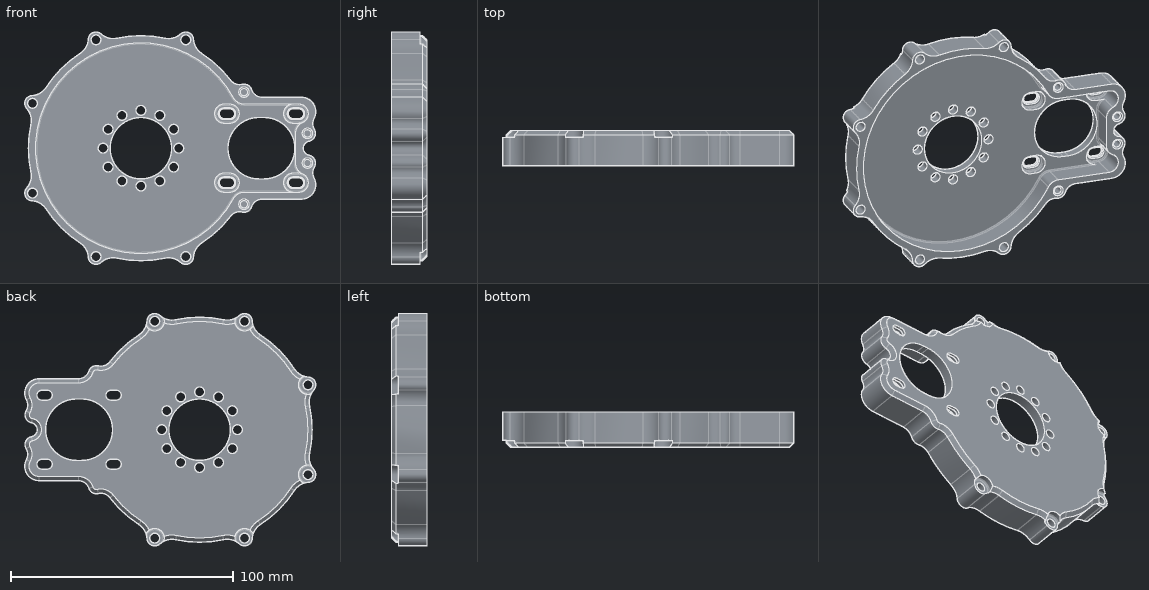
import cadquery as cq
import math

depth = 16.0
floor_thickness = 5.0
wall = 3.3
back_chamfer = 2.0
corner_fillet = 0.5

housing_radius = 50.7
pocket_radius = housing_radius - wall
lug_circle_radius = 52.8
lug_radius = 3.5
lug_blend = 8.0
lug_hole_diameter = 4.3
upper_lug_angles = [67.5, 112.5, 157.5]
spotface_diameter = 8.6
spotface_depth = 3.1

bore_diameter = 27.5
ring_hole_diameter = 4.3
ring_hole_count = 12
ring_hole_circle_radius = 17.0

motor_x = 54.2
motor_travel = 2.5
motor_bore_diameter = 27.5
mount_spacing = 31.0
mount_slot_width = 4.3
mount_recess_width = 8.6
mount_recess_depth = 3.0
mount_slot_chamfer = 0.5

arm_wall = 3.1
arm_end_x = 78.7
arm_outer_corner = 6.5
arm_pocket_corner = mount_recess_width / 2
arm_pocket_corner_x = motor_x + (mount_spacing + motor_travel) / 2
arm_pocket_corner_z = mount_spacing / 2
arm_pocket_half_height = arm_pocket_corner_z + arm_pocket_corner
arm_half_height = arm_pocket_half_height + arm_wall
boss_radius = 3.7
neck_boss_clearance = lug_circle_radius - pocket_radius
boss_blend = 5.0
neck_boss_z = arm_pocket_half_height + neck_boss_clearance
neck_boss_x = math.sqrt(lug_circle_radius**2 - neck_boss_z**2)
end_boss_x = 74.9
end_boss_z = 6.7
end_boss_to_corner = math.hypot(end_boss_x - arm_pocket_corner_x, end_boss_z - arm_pocket_corner_z)
end_boss_clearance = end_boss_to_corner - arm_pocket_corner
end_notch_radius = 3.1
screw_hole_diameter = 3.3
screw_countersink_diameter = 4.7
screw_hole_depth = 10.5



def blend_circle(first, second, radius):
    """Inward circle touching two outward circles, on the right of the way from first to second."""
    dx, dz = second[0] - first[0], second[1] - first[1]
    gap = math.hypot(dx, dz)
    reach_first = first[2] + radius
    reach_second = second[2] + radius
    along = (reach_first**2 - reach_second**2 + gap**2) / (2 * gap)
    aside = math.sqrt(reach_first**2 - along**2)
    x = first[0] + (along * dx + aside * dz) / gap
    z = first[1] + (along * dz - aside * dx) / gap
    return (x, z, -radius)


def tangent_normal(first, second):
    """Angle of the left normal of the common tangent leading from first to second."""
    dx, dz = second[0] - first[0], second[1] - first[1]
    ratio = (second[2] - first[2]) / math.hypot(dx, dz)
    return math.atan2(dz, dx) + math.acos(max(-1.0, min(1.0, ratio)))


def point_on(circle, normal):
    x, z, radius = circle
    return (x - radius * math.cos(normal), z - radius * math.sin(normal))


def tangent_outline(circles):
    """Closed wire running round the circles in order, with a line wherever neighbours are apart."""
    count = len(circles)
    normals = [tangent_normal(circles[i], circles[(i + 1) % count]) for i in range(count)]
    start = point_on(circles[0], normals[-1])
    outline = cq.Workplane("XZ").moveTo(*start)
    here = start
    for i, circle in enumerate(circles):
        enter, leave = normals[i - 1], normals[i]
        turn = math.copysign(1, circle[2])
        sweep = turn * ((turn * (leave - enter)) % (2 * math.pi))
        entry = point_on(circle, enter)
        if math.dist(here, entry) > 0.0001:
            outline = outline.lineTo(*entry)
        here = point_on(circle, leave)
        outline = outline.threePointArc(point_on(circle, enter + sweep / 2), here)
    return outline.close()


def mirrored(circles):
    """The same circles below the X axis, in travelling order."""
    return [(x, -z, radius) for x, z, radius in reversed(circles)]


def outer_circles():
    housing = (0, 0, housing_radius)
    end_boss = (end_boss_x, end_boss_z, boss_radius)
    corner = (arm_end_x - arm_outer_corner, arm_half_height - arm_outer_corner, arm_outer_corner)
    neck_boss = (neck_boss_x, neck_boss_z, boss_radius)

    notch = blend_circle((end_boss_x, -end_boss_z, boss_radius), end_boss, end_notch_radius)

    blend_z = arm_half_height + boss_blend
    blend_reach = boss_radius + boss_blend
    blend_x = neck_boss_x + math.sqrt(blend_reach**2 - (blend_z - neck_boss_z) ** 2)
    neck_blend = (blend_x, blend_z, -boss_blend)

    half = [end_boss, blend_circle(end_boss, corner, boss_blend), corner, neck_blend, neck_boss]
    half += [blend_circle(neck_boss, housing, boss_blend), housing]
    for angle in upper_lug_angles:
        x, z = polar(lug_circle_radius, angle)
        lug = (x, z, lug_radius)
        half += [blend_circle(housing, lug, lug_blend), lug, blend_circle(lug, housing, lug_blend), housing]
    return [notch] + half + mirrored(half[:-1])


def pocket_circles():
    half = [
        (end_boss_x, end_boss_z, -end_boss_clearance),
        (arm_pocket_corner_x, arm_pocket_corner_z, arm_pocket_corner),
        (neck_boss_x, neck_boss_z, -neck_boss_clearance),
        (0, 0, pocket_radius),
    ]
    return half + mirrored(half[:-1])



def polar(radius, angle):
    return (radius * math.cos(math.radians(angle)), radius * math.sin(math.radians(angle)))


def cylinders(points, diameter, front, back, taper=0):
    """Round prisms along Y from y = front to y = back, narrowing backwards by the taper angle."""
    plane = cq.Workplane("XZ", origin=(0, front, 0))
    return plane.pushPoints(points).circle(diameter / 2).extrude(front - back, taper=taper)


def slots(points, width, front, back, taper=0):
    """Round-ended prisms like the cylinders, stretched in X by the motor's travel."""
    plane = cq.Workplane("XZ", origin=(0, front, 0))
    return plane.pushPoints(points).slot2D(width + motor_travel, width).extrude(front - back, taper=taper)


def shell():
    body = tangent_outline(outer_circles()).extrude(-depth)
    body = body.faces(">Y").chamfer(back_chamfer)
    pocket = tangent_outline(pocket_circles()).extrude(floor_thickness - depth)
    pocket = pocket.faces(">Y").edges().fillet(corner_fillet)
    recess = slots(mounts, mount_recess_width, 0, floor_y + mount_recess_depth)
    recess = recess.faces(">Y").edges().fillet(corner_fillet)
    return body.cut(pocket).cut(recess)


floor_y = depth - floor_thickness

upper_lugs = [polar(lug_circle_radius, angle) for angle in upper_lug_angles]
lugs = upper_lugs + [(x, -z) for x, z in upper_lugs]
ring_holes = [polar(ring_hole_circle_radius, i * 360 / ring_hole_count) for i in range(ring_hole_count)]
mounts = [
    (motor_x + side_x * mount_spacing / 2, side_z * mount_spacing / 2)
    for side_x in (-1, 1)
    for side_z in (-1, 1)
]
bosses = [
    (x, side * z)
    for x, z in ((neck_boss_x, neck_boss_z), (end_boss_x, end_boss_z))
    for side in (-1, 1)
]

result = shell()

result = result.cut(cylinders(lugs, lug_hole_diameter, 0, depth))
spotfaces = cylinders(lugs, spotface_diameter, depth - spotface_depth, depth)
result = result.cut(spotfaces.faces("<Y").edges().fillet(corner_fillet))

result = result.cut(cylinders([(0, 0)], bore_diameter, 0, depth))
result = result.cut(cylinders(ring_holes, ring_hole_diameter, 0, depth))

result = result.cut(slots([(motor_x, 0)], motor_bore_diameter, 0, depth))
result = result.cut(slots(mounts, mount_slot_width, 0, depth))
recess_y = floor_y + mount_recess_depth
slot_mouth_width = mount_slot_width + 2 * mount_slot_chamfer
result = result.cut(slots(mounts, slot_mouth_width, recess_y, recess_y + mount_slot_chamfer, taper=45))

result = result.cut(cylinders(bosses, screw_hole_diameter, 0, screw_hole_depth))
countersink_depth = (screw_countersink_diameter - screw_hole_diameter) / 2
result = result.cut(cylinders(bosses, screw_countersink_diameter, 0, countersink_depth, taper=45))